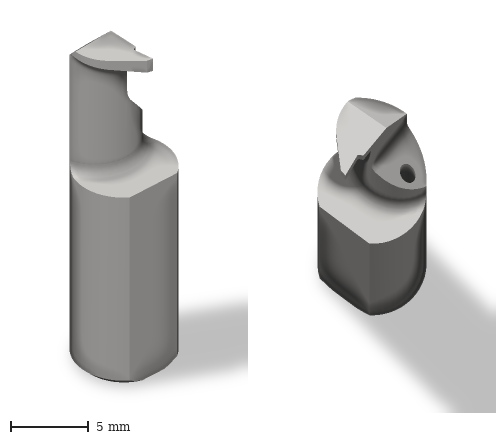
import cadquery as cq
import math

height = 25.0
shank_radius = 3.5
shank_height = 15.0
flat_x = 2.85
foot_chamfer = 0.5

neck_radius = 3.1
neck_right_x = 0.2
neck_center_x = neck_right_x - neck_radius
neck_base = shank_height - 0.5
neck_foot_fillet = 0.75
head_root_fillet = 0.15

rake_y = 0.1
runout_angle = math.radians(40)
runout_radius = 1.5
runout_start_y = rake_y + runout_radius * (1 - math.cos(runout_angle))
runout_start_z = 20.08

coolant_x = -1.48
coolant_y = 1.75
coolant_diameter = 1.0

side_y = -3.0
side_arc_radius = 3.12
side_arc_center_x = -1.18
side_arc_back_angle = math.radians(25)
tip_x = 2.8
tip_y = 0.02
tip_land_x = 2.7
step_x = 1.02
step_bottom_x = 1.18
step_bottom_y = -0.22
step_fillet = 0.15

tip_thickness = 0.98
top_slope_x = 0.024
top_slope_y = 0.045
under_slope_x = -0.035
under_slope_y = -0.028

bevel_slope_x = 1.0
bevel_slope_y = 0.07
bevel_foot_z = 22.78

clearance = 12.5


def half_space_above(point, slope_x, slope_y):
    """Large block above a tilted plane that passes through the given point."""
    plane = cq.Plane(origin=point, xDir=(1, 0, slope_x), normal=(-slope_x, -slope_y, 1))
    return cq.Workplane(plane).rect(2 * clearance, 2 * clearance).extrude(clearance)


def right_block():
    """Full-height block filling the +X side of the YZ plane."""
    return cq.Workplane("XY").box(clearance, 2 * clearance, height, centered=(False, True, False))


def make_shank():
    shank = cq.Workplane("XY").circle(shank_radius).extrude(shank_height).faces("<Z").chamfer(foot_chamfer)
    return shank.cut(right_block().translate((flat_x, 0, 0)))


def make_neck():
    """Neck with a flared foot, profile revolved about the neck axis."""
    flare_radius = neck_radius + neck_foot_fillet
    arc_offset = neck_foot_fillet * (1 - math.sqrt(0.5))
    return (
        cq.Workplane("XZ", origin=(neck_center_x, 0, 0))
        .moveTo(0, neck_base)
        .lineTo(neck_radius, neck_base)
        .lineTo(neck_radius, shank_height)
        .lineTo(flare_radius, shank_height)
        .threePointArc(
            (neck_radius + arc_offset, shank_height + arc_offset),
            (neck_radius, shank_height + neck_foot_fillet),
        )
        .lineTo(neck_radius, height)
        .lineTo(0, height)
        .close()
        .revolve(360, (0, 0), (0, 1))
    )


def make_head():
    """Head plate reaching out to the cutting tip, between its tilted faces."""
    arc_center_y = side_y + side_arc_radius

    def side_arc_point(angle):
        """Point on the side arc, at an angle from -Y towards +X."""
        return (
            side_arc_center_x + side_arc_radius * math.sin(angle),
            arc_center_y - side_arc_radius * math.cos(angle),
        )

    arc_back = side_arc_point(-side_arc_back_angle)
    arc_front = side_arc_point(math.pi / 4)
    land_y = arc_front[1] + tip_land_x - arc_front[0]
    plate_base = height - 2 * tip_thickness
    plate = (
        cq.Workplane("XY", origin=(0, 0, plate_base))
        .moveTo(-shank_radius, rake_y)
        .lineTo(-shank_radius, arc_back[1])
        .lineTo(*arc_back)
        .threePointArc(side_arc_point(0), arc_front)
        .lineTo(tip_land_x, land_y)
        .lineTo(tip_x, tip_y)
        .lineTo(step_bottom_x, step_bottom_y)
        .lineTo(step_x, rake_y)
        .close()
        .extrude(height - plate_base)
    )
    step_edge = cq.selectors.NearestToPointSelector((step_bottom_x, step_bottom_y, height - tip_thickness))
    plate = plate.edges("|Z").edges(step_edge).fillet(step_fillet)
    tip_underside = (tip_x, tip_y, height - tip_thickness)
    return plate.intersect(half_space_above(tip_underside, under_slope_x, under_slope_y))


def make_rake_cut():
    """Everything behind the rake face, with a rounded run-out into the slope."""
    run = clearance - runout_start_y
    arc_center_y = rake_y + runout_radius
    arc_center_z = runout_start_z + runout_radius * math.sin(runout_angle)
    half_angle = runout_angle / 2
    arc_mid = (
        arc_center_y - runout_radius * math.cos(half_angle),
        arc_center_z - runout_radius * math.sin(half_angle),
    )
    return (
        cq.Workplane("YZ")
        .moveTo(rake_y, height)
        .lineTo(rake_y, arc_center_z)
        .threePointArc(arc_mid, (runout_start_y, runout_start_z))
        .lineTo(clearance, runout_start_z - run / math.tan(runout_angle))
        .lineTo(clearance, height)
        .close()
        .extrude(clearance, both=True)
    )


round_bar = cq.Workplane("XY").circle(shank_radius).extrude(height)

upper_space = cq.Workplane("XY", origin=(0, 0, shank_height)).rect(clearance, clearance).extrude(height)
rake_cut = make_rake_cut().intersect(upper_space)

neck = make_neck().intersect(round_bar)
back_limit = round_bar.union(right_block())
tool = neck.union(make_head().intersect(back_limit))
tool = tool.cut(rake_cut)

root_angle = math.radians(-27)
root_point = (
    neck_center_x + neck_radius * math.cos(root_angle),
    neck_radius * math.sin(root_angle),
    height - tip_thickness,
)
tool = tool.edges(cq.selectors.NearestToPointSelector(root_point)).fillet(head_root_fillet)

tool = tool.union(make_shank())
tool = tool.cut(half_space_above((tip_x, tip_y, height), top_slope_x, top_slope_y))
tool = tool.cut(half_space_above((-shank_radius, 0, bevel_foot_z), bevel_slope_x, bevel_slope_y))
coolant_hole = cq.Workplane("XY").center(coolant_x, coolant_y).circle(coolant_diameter / 2).extrude(height)
result = tool.cut(coolant_hole)